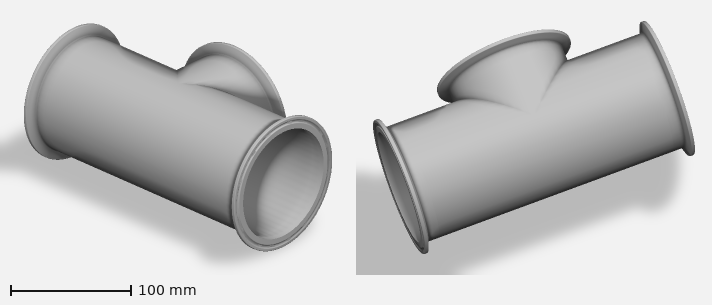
import cadquery as cq
import math

run_length = 241.3
overall_depth = 129.3
tube_diameter = 101.5
bore_diameter = 97.5

flange_diameter = 119.0
ferrule_length = 16.0
rim_width = 3.1
back_angle = 20.0
rim_round = 0.7
neck_round = 1.2

groove_center_diameter = 110.3
groove_width = 3.0
groove_depth = 1.09
groove_lip_round = 0.7

tube_radius = tube_diameter / 2
bore_radius = bore_diameter / 2
flange_radius = flange_diameter / 2
branch_reach = overall_depth - flange_radius
groove_center = groove_center_diameter / 2
groove_inner = groove_center - groove_width / 2
groove_outer = groove_center + groove_width / 2
neck_start = rim_width + (flange_radius - tube_radius) * math.tan(math.radians(back_angle))


def is_circle(edge, radius, height):
    """True if the edge is a circle about Z with this radius and height."""
    tolerance = 0.002
    if edge.geomType() != "CIRCLE":
        return False
    return abs(edge.radius() - radius) < tolerance and abs(edge.Center().z - height) < tolerance


def round_circle(body, radius, height, round_radius):
    """Fillet the circular edge of the body with this radius and height."""
    edges = body.edges().filter(lambda edge: is_circle(edge, radius, height))
    return edges.fillet(round_radius)


def make_ferrule():
    """Unbored clamp ferrule: face on Z = 0, neck rising along +Z."""
    half_section = (
        cq.Workplane("XZ")
        .lineTo(groove_inner, 0)
        .threePointArc((groove_center, groove_depth), (groove_outer, 0))
        .lineTo(flange_radius, 0)
        .lineTo(flange_radius, rim_width)
        .lineTo(tube_radius, neck_start)
        .lineTo(tube_radius, ferrule_length)
        .lineTo(0, ferrule_length)
        .close()
    )
    body = half_section.revolve(360, (0, 0), (0, 1))
    body = round_circle(body, groove_inner, 0, groove_lip_round)
    body = round_circle(body, groove_outer, 0, groove_lip_round)
    body = round_circle(body, flange_radius, 0, rim_round)
    body = round_circle(body, flange_radius, rim_width, rim_round)
    return round_circle(body, tube_radius, neck_start, neck_round)


def make_tee(radius, length, reach):
    """Run cylinder centred along X, joined to a branch cylinder that ends at Y = reach."""
    run = cq.Workplane("YZ").circle(radius).extrude(length / 2, both=True)
    branch = cq.Workplane("XZ").circle(radius).extrude(-reach)
    return run.union(branch)


ferrule = make_ferrule()
left_end = ferrule.rotate((0, 0, 0), (0, 1, 0), 90).translate((-run_length / 2, 0, 0))
right_end = left_end.mirror("YZ")
branch_end = ferrule.rotate((0, 0, 0), (1, 0, 0), 90).translate((0, branch_reach, 0))

outside = make_tee(tube_radius, run_length - 2 * ferrule_length, branch_reach - ferrule_length)
for end in (left_end, right_end, branch_end):
    outside = outside.union(end, clean=False)

bore = make_tee(bore_radius, run_length, branch_reach)
result = outside.cut(bore, clean=False)